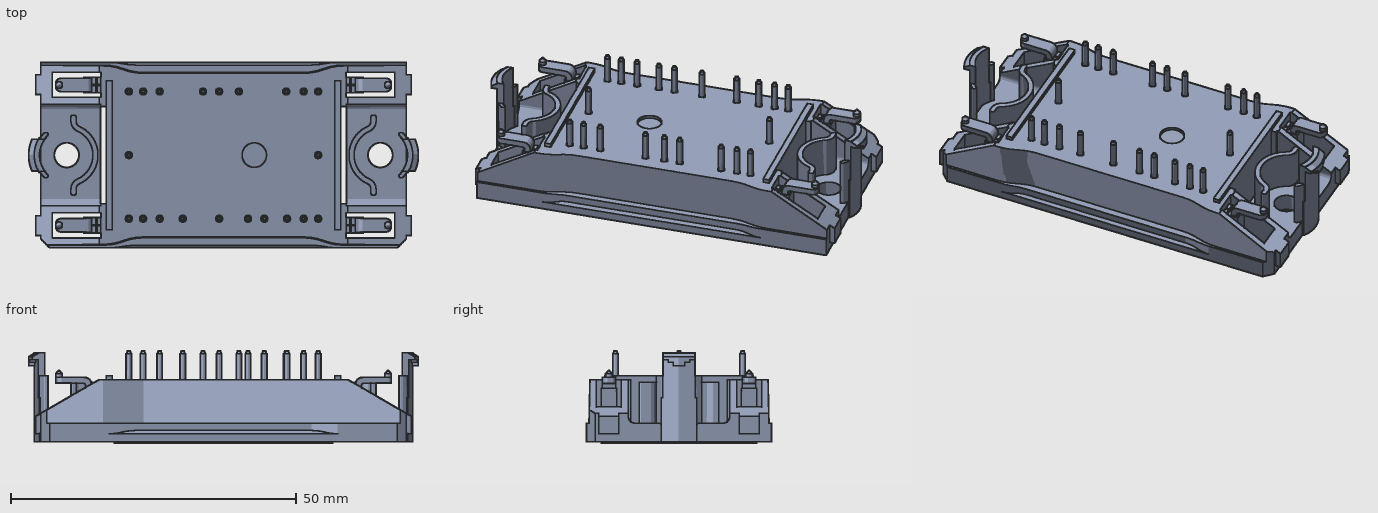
import cadquery as cq
import math

BASE_PLATE_TOP = 0.27
FRAME_TOP = 3.55
HOUSING_TOP = 11.2
SPACER_BAR_TOP = 11.87
PIN_SHOULDER_TOP = 15.75
PIN_TIP_TOP = 16.23

BASE_PLATE_SIZE = (38.3, 27.2)
FRAME_HALF_X = 32.05
FRAME_HALF_Y = 16.25
CORNER_CHAMFER = 1.55

HOUSING_HALF_Y = 15.8
HOUSING_WAIST_HALF_Y = 14.5
HOUSING_DRAFT = 1.2
DRAFT_ALLOWANCE = 1.0
WAIST_START_X = 14.0
WAIST_END_X = 21.1
SLOPE_TOP_X = 21.8
SLOPE_ANGLE = 30.0

RECESS_DEPTH = 0.45
RECESS_START_X = 15.4
RECESS_END_X = 20.0
RECESS_BOTTOM = 1.7
RECESS_LEDGE_RISE = 0.57

TROUGH_HALF_Y = 8.9
TROUGH_FILLET = 1.2
GAP_OUTER_X = 21.55
GAP_HALF_Y = 8.5
MOUNT_HOLE_X = 27.5
MOUNT_HOLE_DIAMETER = 4.3

TAB_X = 32.95
TAB_BOTTOM = 1.7
TAB_INNER_Y = 10.6
TAB_OUTER_Y = 14.1

WINDOW_INNER_X = 21.5
WINDOW_OUTER_X = 30.0
WINDOW_INNER_Y = 10.15
WINDOW_OUTER_Y = 14.5

ARM_CENTER_Y = 12.3
ARM_WIDTH = 2.4
ARM_THICKNESS = 1.05
ARM_TOP = 11.6
ARM_TIP_X = 29.45
ARM_BACK_X = 23.1
ARM_BEND_RADIUS = 1.3
ARM_INNER_BEND_RADIUS = 0.5
ARM_TIP_FILLET = 1.0
ARM_FOOT_FRONT_X = 24.5
ARM_FOOT_WIDTH = 2.75
ARM_FOOT_TOP = 9.7
FOOT_GROOVE_WIDTH = 0.25
FOOT_GROOVE_DEPTH = 0.5
ARM_PIN_X = 28.85
ARM_PIN_DIAMETER = 1.2
ARM_PIN_SHOULDER_TOP = 12.2
ARM_PIN_TOP = 12.87

CLIP_INNER_RADIUS = 4.75
CLIP_OUTER_RADIUS = 5.7
CLIP_TOP = 15.93
CLIP_HALF_WIDTH = 2.82
CLIP_FOOT_HALF_WIDTH = 3.07
CLIP_FOOT_TOP = 8.0
CLIP_LIP_INNER_RADIUS = 4.8
CLIP_LIP_OUTER_RADIUS = 5.55
CLIP_LIP_HALF_Y = 3.95
CLIP_LIP_TOP = 11.87
CLIP_LIP_END_FILLET = 0.3
HOOK_OUTER_RADIUS = 6.7
HOOK_SHOULDER = 15.15
HOOK_CHAMFER_RADIUS = 5.55
HOOK_STEPS = [(2.82, 14.7), (1.85, 14.2), (1.0, 13.6)]

GUARD_RADIUS = 5.05
GUARD_THICKNESS = 0.9
GUARD_BEND_RADIUS = 1.5
GUARD_END_X = 26.3
GUARD_END_Y = 7.0
GUARD_TOP = 10.7
GUARD_END_FILLET = 0.3

SPACER_BAR_X = 20.05
SPACER_BAR_WIDTH = 1.1
SPACER_BAR_LENGTH = 26.1
GAP_INNER_X = SPACER_BAR_X + SPACER_BAR_WIDTH / 2
DIMPLE_X = 5.4
DIMPLE_DIAMETER = 4.3
DIMPLE_DEPTH = 0.5

PIN_DIAMETER = 1.0
PIN_TIP_BASE_DIAMETER = 0.8
PIN_TIP_DIAMETER = 0.5
PIN_RELIEF_DIAMETER = 1.2
PIN_RELIEF_DEPTH = 0.2
PIN_ROW_Y = 11.15
FRONT_PIN_X = [-16.6, -14.1, -11.2, -7.15, -0.77, 4.3, 7.15, 11.15, 14.05, 16.6]
BACK_PIN_X = [-16.6, -14.1, -11.2, -3.6, -0.77, 2.7, 11.0, 14.05, 16.6]
MIDDLE_PIN_X = [-16.6, 16.6]

OVERLAP = 0.2


def box(x_range, y_range, z_range):
    size = [end - start for start, end in (x_range, y_range, z_range)]
    corner = (x_range[0], y_range[0], z_range[0])
    return cq.Workplane("XY").box(*size, centered=False).translate(corner)


def cylinder(x, y, diameter, z_start, z_end):
    disc = cq.Workplane("XY", origin=(x, y, z_start)).circle(diameter / 2)
    return disc.extrude(z_end - z_start)


def cone(x, y, bottom_diameter, top_diameter, z_start, z_end):
    solid = cq.Solid.makeCone(
        bottom_diameter / 2, top_diameter / 2, z_end - z_start, pnt=cq.Vector(x, y, z_start)
    )
    return cq.Workplane(obj=solid)


def mirrored_pair(shape, plane):
    return shape.union(shape.mirror(plane))


def waisted_outline(half_x, half_y, waist_half_y, start_x, end_x, z):
    """Rectangle whose long sides step inwards through S-curves, flat in the middle."""
    dx = (end_x - start_x) / 2
    dy = (half_y - waist_half_y) / 2
    radius = (dx**2 + dy**2) / (2 * dy)
    middle_x = (start_x + end_x) / 2
    middle_y = (half_y + waist_half_y) / 2
    half_angle = math.asin(dx / radius) / 2
    along = radius * math.sin(half_angle)
    across = radius * (1 - math.cos(half_angle))

    outline = cq.Workplane("XY", origin=(0, 0, z)).moveTo(-half_x, -half_y)
    outline = outline.lineTo(-end_x, -half_y)
    outline = outline.threePointArc((-end_x + along, -half_y + across), (-middle_x, -middle_y))
    outline = outline.threePointArc((-start_x - along, -waist_half_y - across), (-start_x, -waist_half_y))
    outline = outline.lineTo(start_x, -waist_half_y)
    outline = outline.threePointArc((start_x + along, -waist_half_y - across), (middle_x, -middle_y))
    outline = outline.threePointArc((end_x - along, -half_y + across), (end_x, -half_y))
    outline = outline.lineTo(half_x, -half_y).lineTo(half_x, half_y)
    outline = outline.lineTo(end_x, half_y)
    outline = outline.threePointArc((end_x - along, half_y - across), (middle_x, middle_y))
    outline = outline.threePointArc((start_x + along, waist_half_y + across), (start_x, waist_half_y))
    outline = outline.lineTo(-start_x, waist_half_y)
    outline = outline.threePointArc((-start_x - along, waist_half_y + across), (-middle_x, middle_y))
    outline = outline.threePointArc((-end_x + along, half_y - across), (-end_x, half_y))
    return outline.lineTo(-half_x, half_y).close()


def slope_height(x):
    """Height of the sloped end of the housing at distance x from the middle."""
    return HOUSING_TOP - (x - SLOPE_TOP_X) * math.tan(math.radians(SLOPE_ANGLE))


def side_profile(half_x):
    """Prism across the housing with sloped ends."""
    end_top = slope_height(half_x)
    profile = cq.Workplane("XZ").polyline([
        (-half_x, 0),
        (half_x, 0),
        (half_x, end_top),
        (SLOPE_TOP_X, HOUSING_TOP),
        (-SLOPE_TOP_X, HOUSING_TOP),
        (-half_x, end_top),
    ])
    return profile.close().extrude(FRAME_HALF_Y, both=True)


def frame():
    height = FRAME_TOP - BASE_PLATE_TOP
    solid = cq.Workplane("XY", origin=(0, 0, BASE_PLATE_TOP))
    solid = solid.rect(2 * FRAME_HALF_X, 2 * FRAME_HALF_Y).extrude(height)
    core = waisted_outline(
        FRAME_HALF_X, FRAME_HALF_Y, FRAME_HALF_Y - RECESS_DEPTH, RECESS_START_X, RECESS_END_X, BASE_PLATE_TOP
    ).extrude(height)
    inner_y = FRAME_HALF_Y - RECESS_DEPTH
    ledge = cq.Workplane("YZ").polyline([
        (-FRAME_HALF_Y, BASE_PLATE_TOP),
        (FRAME_HALF_Y, BASE_PLATE_TOP),
        (FRAME_HALF_Y, RECESS_BOTTOM),
        (inner_y, RECESS_BOTTOM + RECESS_LEDGE_RISE),
        (-inner_y, RECESS_BOTTOM + RECESS_LEDGE_RISE),
        (-FRAME_HALF_Y, RECESS_BOTTOM),
    ])
    ledge = ledge.close().extrude(FRAME_HALF_X, both=True)
    return solid.intersect(core.union(ledge))


def housing():
    long_half_x = FRAME_HALF_X + DRAFT_ALLOWANCE
    solid = waisted_outline(
        long_half_x, HOUSING_HALF_Y, HOUSING_WAIST_HALF_Y, WAIST_START_X, WAIST_END_X, FRAME_TOP
    ).extrude(HOUSING_TOP - FRAME_TOP, taper=HOUSING_DRAFT)
    return solid.intersect(side_profile(FRAME_HALF_X))


def corner_chamfer_cutter():
    corner = cq.Workplane("XY").polyline([
        (-FRAME_HALF_X, -FRAME_HALF_Y),
        (-FRAME_HALF_X + CORNER_CHAMFER, -FRAME_HALF_Y),
        (-FRAME_HALF_X, -FRAME_HALF_Y + CORNER_CHAMFER),
    ])
    return corner.close().extrude(HOUSING_TOP)


def end_cutter():
    """Trough, gap, mounting hole and corner windows of the -X end."""
    trough = box(
        (-FRAME_HALF_X, -GAP_OUTER_X),
        (-TROUGH_HALF_Y, TROUGH_HALF_Y),
        (FRAME_TOP, HOUSING_TOP),
    ).edges("|X and <Z").fillet(TROUGH_FILLET)
    gap = box((-GAP_OUTER_X, -GAP_INNER_X), (-GAP_HALF_Y, GAP_HALF_Y), (0, HOUSING_TOP))
    hole = cylinder(-MOUNT_HOLE_X, 0, MOUNT_HOLE_DIAMETER, 0, HOUSING_TOP)
    window = box(
        (-WINDOW_OUTER_X, -WINDOW_INNER_X),
        (WINDOW_INNER_Y, WINDOW_OUTER_Y),
        (0, HOUSING_TOP),
    )
    return trough.union(gap).union(hole).union(mirrored_pair(window, "XZ"))


def corner_tab():
    block = box((-TAB_X, -FRAME_HALF_X + OVERLAP), (TAB_INNER_Y, TAB_OUTER_Y), (TAB_BOTTOM, HOUSING_TOP))
    return block.intersect(side_profile(TAB_X))


def locating_arm():
    """Bent arm with a pin at its tip, standing on a foot at the housing wall."""
    leg_front_x = ARM_BACK_X + ARM_THICKNESS
    half_width = ARM_WIDTH / 2
    bend = cq.Workplane("XZ").polyline([
        (-ARM_TIP_X, ARM_TOP),
        (-ARM_BACK_X, ARM_TOP),
        (-ARM_BACK_X, BASE_PLATE_TOP),
        (-leg_front_x, BASE_PLATE_TOP),
        (-leg_front_x, ARM_TOP - ARM_THICKNESS),
        (-ARM_TIP_X, ARM_TOP - ARM_THICKNESS),
    ])
    arm = bend.close().extrude(half_width, both=True)
    arm = arm.edges("|Y and >X and >Z").fillet(ARM_BEND_RADIUS)
    inner_corner = cq.selectors.NearestToPointSelector((-leg_front_x, 0, ARM_TOP - ARM_THICKNESS))
    arm = arm.edges(inner_corner).fillet(ARM_INNER_BEND_RADIUS)
    arm = arm.edges("|Z and <X").fillet(ARM_TIP_FILLET)
    foot = box(
        (-ARM_FOOT_FRONT_X, -WINDOW_INNER_X + OVERLAP),
        (-ARM_FOOT_WIDTH / 2, ARM_FOOT_WIDTH / 2),
        (BASE_PLATE_TOP, ARM_FOOT_TOP),
    )
    groove_center = (-(ARM_BACK_X + WINDOW_INNER_X) / 2, 0, ARM_FOOT_TOP)
    groove = cq.Workplane("XY").box(ARM_BACK_X - WINDOW_INNER_X, FOOT_GROOVE_WIDTH, 2 * FOOT_GROOVE_DEPTH)
    cross_groove = cq.Workplane("XY").box(FOOT_GROOVE_WIDTH, ARM_FOOT_WIDTH, 2 * FOOT_GROOVE_DEPTH)
    foot = foot.cut(groove.union(cross_groove).translate(groove_center))
    shoulder = cylinder(-ARM_PIN_X, 0, ARM_PIN_DIAMETER, ARM_TOP - OVERLAP, ARM_PIN_SHOULDER_TOP)
    tip = cone(-ARM_PIN_X, 0, ARM_PIN_DIAMETER, 0, ARM_PIN_SHOULDER_TOP, ARM_PIN_TOP)
    return arm.union(foot).union(shoulder).union(tip).translate((0, ARM_CENTER_Y, 0))


def ring(inner_radius, outer_radius, z_start, z_end):
    ring_face = cq.Workplane("XY", origin=(-MOUNT_HOLE_X, 0, z_start))
    return ring_face.circle(outer_radius).circle(inner_radius).extrude(z_end - z_start)


def clip_strip(half_width, z_start, z_end):
    """Box that picks the outward part of a ring within the given half width."""
    outer_x = MOUNT_HOLE_X + HOOK_OUTER_RADIUS
    return box((-outer_x, -MOUNT_HOLE_X), (-half_width, half_width), (z_start, z_end))


def snap_clip():
    column = ring(CLIP_INNER_RADIUS, CLIP_OUTER_RADIUS, BASE_PLATE_TOP, CLIP_TOP)
    foot = clip_strip(CLIP_FOOT_HALF_WIDTH, BASE_PLATE_TOP, CLIP_FOOT_TOP)
    clip = column.intersect(foot.union(clip_strip(CLIP_HALF_WIDTH, BASE_PLATE_TOP, CLIP_TOP)))

    lips = ring(CLIP_LIP_INNER_RADIUS, CLIP_LIP_OUTER_RADIUS, FRAME_TOP - OVERLAP, CLIP_LIP_TOP)
    lips = lips.intersect(clip_strip(CLIP_LIP_HALF_Y, FRAME_TOP - OVERLAP, CLIP_LIP_TOP))
    lips = lips.edges("|Z").fillet(CLIP_LIP_END_FILLET)
    clip = clip.union(lips)

    for half_width, underside in HOOK_STEPS:
        profile = cq.Workplane("XZ", origin=(-MOUNT_HOLE_X, 0, 0)).polyline([
            (-CLIP_INNER_RADIUS, underside),
            (-HOOK_OUTER_RADIUS, underside),
            (-HOOK_OUTER_RADIUS, HOOK_SHOULDER),
            (-HOOK_CHAMFER_RADIUS, CLIP_TOP),
            (-CLIP_INNER_RADIUS, CLIP_TOP),
        ])
        hook = profile.close().revolve(360, (0, 0, 0), (0, 1, 0))
        clip = clip.union(hook.intersect(clip_strip(half_width, underside, CLIP_TOP)))
    return clip


def guard_wall():
    """Arc around the mounting hole that bends back into two short straight ends."""
    bend_x = -GUARD_END_X + GUARD_BEND_RADIUS
    bend_offset_x = bend_x + MOUNT_HOLE_X
    bend_y = math.sqrt((GUARD_RADIUS + GUARD_BEND_RADIUS) ** 2 - bend_offset_x**2)
    turn = math.atan2(bend_y, bend_offset_x)

    def outline(side):
        """Points along the housing side (+1) or the hole side (-1) of the wall."""
        shift = side * GUARD_THICKNESS / 2
        main_radius = GUARD_RADIUS + shift
        bend_radius = GUARD_BEND_RADIUS - shift
        straight_x = bend_x - bend_radius
        join = (-MOUNT_HOLE_X + main_radius * math.cos(turn), main_radius * math.sin(turn))
        half_turn = turn / 2
        bend_middle = (bend_x - bend_radius * math.cos(half_turn), bend_y - bend_radius * math.sin(half_turn))
        apex = (-MOUNT_HOLE_X + main_radius, 0)
        return straight_x, bend_middle, join, apex

    def flip(point):
        return point[0], -point[1]

    outer_x, outer_bend, outer_join, outer_apex = outline(1)
    inner_x, inner_bend, inner_join, inner_apex = outline(-1)
    wall = cq.Workplane("XY", origin=(0, 0, FRAME_TOP - OVERLAP))
    wall = wall.moveTo(outer_x, GUARD_END_Y).lineTo(outer_x, bend_y)
    wall = wall.threePointArc(outer_bend, outer_join)
    wall = wall.threePointArc(outer_apex, flip(outer_join))
    wall = wall.threePointArc(flip(outer_bend), (outer_x, -bend_y))
    wall = wall.lineTo(outer_x, -GUARD_END_Y).lineTo(inner_x, -GUARD_END_Y).lineTo(inner_x, -bend_y)
    wall = wall.threePointArc(flip(inner_bend), flip(inner_join))
    wall = wall.threePointArc(inner_apex, inner_join)
    wall = wall.threePointArc(inner_bend, (inner_x, bend_y))
    wall = wall.lineTo(inner_x, GUARD_END_Y).close()
    wall = wall.extrude(GUARD_TOP - FRAME_TOP + OVERLAP)
    for end_face in (">Y", "<Y"):
        wall = wall.faces(end_face).edges("|Z").fillet(GUARD_END_FILLET)
    return wall


def spacer_bar():
    bar = cq.Workplane("XY", origin=(-SPACER_BAR_X, 0, HOUSING_TOP - OVERLAP))
    return bar.rect(SPACER_BAR_WIDTH, SPACER_BAR_LENGTH).extrude(SPACER_BAR_TOP - HOUSING_TOP + OVERLAP)


def pin_positions():
    front = [(x, -PIN_ROW_Y) for x in FRONT_PIN_X]
    back = [(x, PIN_ROW_Y) for x in BACK_PIN_X]
    middle = [(x, 0) for x in MIDDLE_PIN_X]
    return front + back + middle


def add_pin(body, x, y):
    """Contact pin with a tapered tip, standing in a shallow relief."""
    relief_floor = HOUSING_TOP - PIN_RELIEF_DEPTH
    body = body.cut(cylinder(x, y, PIN_RELIEF_DIAMETER, relief_floor, HOUSING_TOP))
    shank = cylinder(x, y, PIN_DIAMETER, relief_floor - OVERLAP, PIN_SHOULDER_TOP)
    tip = cone(x, y, PIN_TIP_BASE_DIAMETER, PIN_TIP_DIAMETER, PIN_SHOULDER_TOP, PIN_TIP_TOP)
    return body.union(shank.union(tip))


body = frame().union(housing())
body = body.cut(mirrored_pair(corner_chamfer_cutter(), "YZ"))
body = body.cut(mirrored_pair(end_cutter(), "YZ"))

end_features = mirrored_pair(corner_tab(), "XZ").union(mirrored_pair(locating_arm(), "XZ"))
end_features = end_features.union(snap_clip()).union(guard_wall()).union(spacer_bar())
body = body.union(mirrored_pair(end_features, "YZ"))

base_plate = cq.Workplane("XY").rect(*BASE_PLATE_SIZE).extrude(BASE_PLATE_TOP + OVERLAP)
body = body.union(base_plate)
body = body.cut(cylinder(DIMPLE_X, 0, DIMPLE_DIAMETER, HOUSING_TOP - DIMPLE_DEPTH, HOUSING_TOP))

for pin_x, pin_y in pin_positions():
    body = add_pin(body, pin_x, pin_y)

result = body